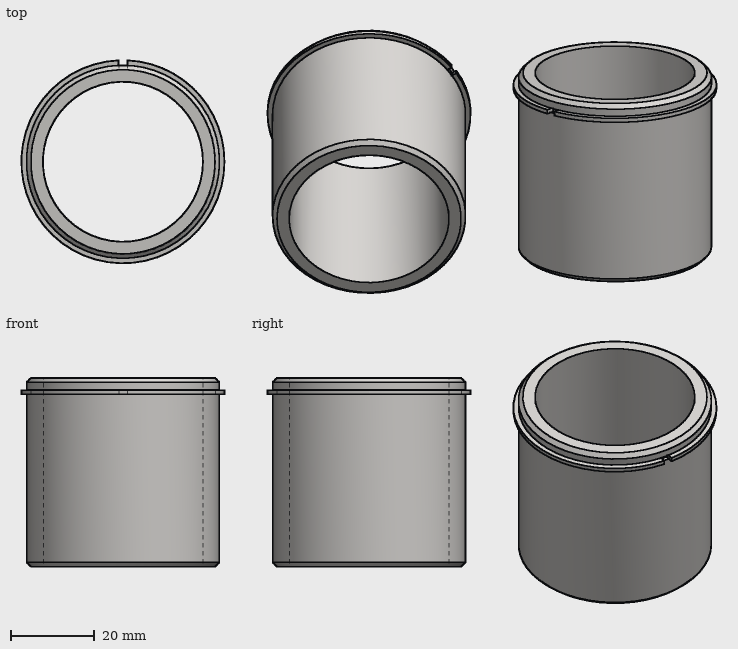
import cadquery as cq

sleeve_height = 45.0
sleeve_radius = 23.0
bore_radius = 19.0
edge_chamfer = 1.05

ring_radius = 24.2
groove_radius = 22.0
ring_thickness = 1.0
groove_clearance = 0.1
ring_top_depth = 2.95
ring_gap = 2.1
ring_bottom = sleeve_height - ring_top_depth - ring_thickness


def tube(outer_radius, inner_radius, bottom, height):
    """Plain tube standing on the plane z = bottom."""
    return cq.Workplane("XY", origin=(0, 0, bottom)).circle(outer_radius).circle(inner_radius).extrude(height)


def make_sleeve():
    """Bored cylinder with chamfered outer ends and a groove for the snap ring."""
    body = cq.Workplane("XY").circle(sleeve_radius).extrude(sleeve_height)
    body = body.edges().chamfer(edge_chamfer)
    bore = cq.Workplane("XY").circle(bore_radius).extrude(sleeve_height)
    groove = tube(ring_radius, groove_radius, ring_bottom, ring_thickness + groove_clearance)
    return body.cut(bore).cut(groove)


def make_snap_ring():
    """Flat ring seated in the groove, split by a parallel gap on the +Y side."""
    ring = tube(ring_radius, groove_radius, ring_bottom, ring_thickness)
    gap = (
        cq.Workplane("XY", origin=(0, 0, ring_bottom))
        .rect(ring_gap, ring_radius * 2)
        .extrude(ring_thickness)
        .translate((0, ring_radius, 0))
    )
    return ring.cut(gap)


sleeve = make_sleeve()
snap_ring = make_snap_ring()

result = cq.Compound.makeCompound([sleeve.val(), snap_ring.val()])